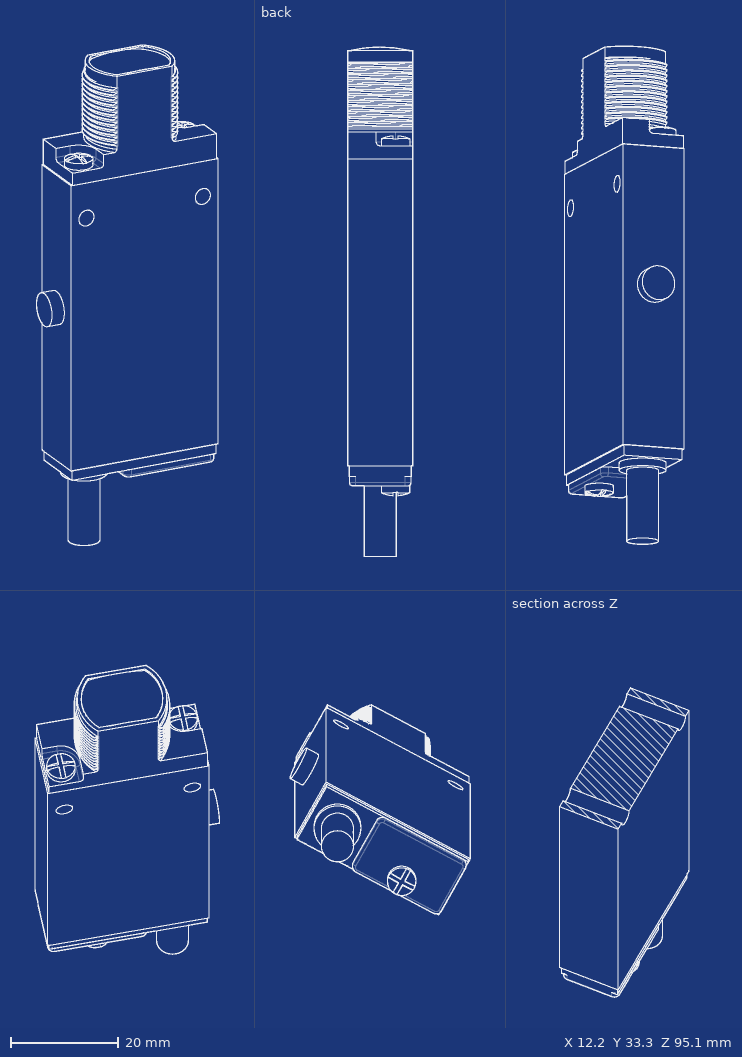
import cadquery as cq
import math


width = 12.2
case_depth = 30.7
case_height = 57.3
cap_step = 0.3
cap_depth = case_depth - 2 * cap_step
top_cap_height = 5.0
bottom_cap_height = 2.0
cap_top = case_height + top_cap_height
cap_bottom = -bottom_cap_height

hole_offset = 12.2
hole_diameter = 3.1
hole_drop = 7.0
screw_x = 2.9

barrel_radius = 8.4
barrel_height = 15.2
barrel_top = cap_top + barrel_height
neck_flare_radius = 8.7
neck_flare_height = 0.6

thread_radius = 8.9
thread_bottom = cap_top + 0.95
thread_top = barrel_top - 2.1
thread_turns = 12.2
thread_pitch = (thread_top - thread_bottom) / thread_turns
thread_root_width = 0.81
thread_crest_width = 0.14
thread_sink = 0.14
thread_arc = 120.0

lens_rim = 0.8
lens_radius = barrel_radius - lens_rim
lens_half_width = width / 2 - lens_rim
lens_seat_depth = 1.5
lens_rise = 0.7
lens_dome_radius = 23.8

screw_head_radius = 2.7
screw_head_side_height = 1.3
screw_head_dome_height = 0.6
screw_head_height = screw_head_side_height + screw_head_dome_height
screw_head_slot_width = 0.9
screw_head_slot_depth = 0.7
pocket_radius = 3.6
pocket_depth = 2.6
pocket_fillet = 0.8

button_radius = 3.2
button_length = 2.6
button_z = 30.7

bottom_cap_width = width - 2 * cap_step
cover_width = 11.5
cover_length = 18.8
cover_thickness = 1.7
cover_corner = 1.1
cover_edge_fillet = 0.6
cover_y = (cap_depth - cover_length) / 2
cover_screw_y = 5.6

cable_diameter = 6.0
cable_y = -9.6
collar_radius = 4.4
collar_height = 1.4
total_height = 95.1
cable_bottom = barrel_top + lens_rise - total_height


def block(x_size, y_size, z_low, z_high):
    """Box centred on X and Y between two heights."""
    return cq.Workplane("XY").workplane(offset=z_low).rect(x_size, y_size).extrude(z_high - z_low)


def disc(radius, z_low, z_high, x=0.0, y=0.0):
    """Upright cylinder between two heights."""
    return cq.Workplane("XY").workplane(offset=z_low).center(x, y).circle(radius).extrude(z_high - z_low)


def flat_sided_disc(radius, half_width, z_low, z_high):
    """Upright cylinder with two flats facing -X and +X."""
    slab = block(2 * half_width, 2 * radius, z_low, z_high)
    return disc(radius, z_low, z_high).intersect(slab)


def screw_head():
    """Domed head standing on Z = 0, with a cross slot in its top."""
    dome_radius = (screw_head_radius**2 + screw_head_dome_height**2) / (2 * screw_head_dome_height)
    ball = cq.Workplane("XY").sphere(dome_radius).translate((0, 0, screw_head_height - dome_radius))
    head = disc(screw_head_radius, 0, screw_head_height).intersect(ball)
    slot_floor = screw_head_height - screw_head_slot_depth
    slot = block(2 * screw_head_radius, screw_head_slot_width, slot_floor, screw_head_height)
    return head.cut(slot).cut(slot.rotate((0, 0, 0), (0, 0, 1), 90))


def corner_pocket():
    """Cutter for the pocket at the +X, -Y corner, open to both sides and to the top."""
    reach = pocket_radius + width
    floor = cap_top - pocket_depth
    return (
        cq.Workplane("XY")
        .workplane(offset=floor)
        .center(screw_x, -hole_offset)
        .moveTo(-pocket_radius, 0)
        .radiusArc((0, pocket_radius), pocket_radius)
        .lineTo(reach, pocket_radius)
        .lineTo(reach, -reach)
        .lineTo(-pocket_radius, -reach)
        .close()
        .extrude(pocket_depth)
        .faces("<Z")
        .edges()
        .fillet(pocket_fillet)
    )


def thread_segment():
    """Piece of the helical ridge centred on the +Y side, trimmed to the flats, at the height Z = 0."""
    root = barrel_radius - thread_sink
    rise = thread_pitch * thread_arc / 360
    path = cq.Wire.makeHelix(thread_pitch, rise, root)
    ridge = (
        cq.Workplane("XZ")
        .moveTo(root, -thread_root_width / 2)
        .lineTo(thread_radius, -thread_crest_width / 2)
        .lineTo(thread_radius, thread_crest_width / 2)
        .lineTo(root, thread_root_width / 2)
        .close()
        .sweep(cq.Workplane(obj=path), isFrenet=True)
        .rotate((0, 0, 0), (0, 0, 1), 90 - thread_arc / 2)
        .translate((0, 0, -rise / 2))
    )
    return ridge.intersect(block(width, 3 * thread_radius, -thread_pitch, thread_pitch))


def thread():
    """Right-hand thread: a segment for every half turn, trimmed square at both ends."""
    segment = thread_segment()
    pieces = []
    for half_turn in range(2 * math.ceil(thread_turns) + 2):
        height = thread_bottom + half_turn * thread_pitch / 2
        piece = segment.rotate((0, 0, 0), (0, 0, 1), 180 * half_turn).translate((0, 0, height))
        pieces.append(piece.val())
    band = block(width, 3 * thread_radius, thread_bottom, thread_top)
    return cq.Workplane(obj=cq.Compound.makeCompound(pieces)).intersect(band)


def plain_barrel():
    """Flat-sided barrel with a flared foot."""
    flare = (
        cq.Workplane("XZ")
        .moveTo(0, cap_top)
        .lineTo(neck_flare_radius, cap_top)
        .lineTo(barrel_radius, cap_top + neck_flare_height)
        .lineTo(0, cap_top + neck_flare_height)
        .close()
        .revolve(360, (0, 0), (0, 1))
        .intersect(block(width, case_depth, cap_top, barrel_top))
    )
    barrel = flat_sided_disc(barrel_radius, width / 2, cap_top, barrel_top)
    return barrel.union(flare)


def lens():
    """Lens with a spherical top, standing on the floor of its recess."""
    top = barrel_top + lens_rise
    blank = flat_sided_disc(lens_radius, lens_half_width, barrel_top - lens_seat_depth, top)
    ball = cq.Workplane("XY").sphere(lens_dome_radius).translate((0, 0, top - lens_dome_radius))
    return blank.intersect(ball)


def mounting_holes():
    """Cutter for the two holes through the case along X."""
    return (
        cq.Workplane("YZ")
        .workplane(offset=-width)
        .pushPoints([(side * hole_offset, case_height - hole_drop) for side in (-1, 1)])
        .circle(hole_diameter / 2)
        .extrude(2 * width)
    )


def button():
    return (
        cq.Workplane("XZ")
        .workplane(offset=case_depth / 2)
        .center(0, button_z)
        .circle(button_radius)
        .extrude(button_length)
    )


def cover_plate():
    """Plate below the bottom cap, with its screw head."""
    cover_bottom = cap_bottom - cover_thickness
    plate = (
        block(cover_width, cover_length, cover_bottom, cap_bottom)
        .edges("|Z")
        .fillet(cover_corner)
        .faces("<Z")
        .edges()
        .fillet(cover_edge_fillet)
        .translate((0, cover_y, 0))
    )
    head = screw_head().mirror("XY").translate((-screw_x, cover_screw_y, cover_bottom))
    return plate.union(head)


def make_sensor_head():
    """Top cap with its two screw heads, the threaded barrel and the lens."""
    sensor_head = block(width, cap_depth, case_height, cap_top)
    for turn in (0, 180):
        screw = screw_head().translate((screw_x, -hole_offset, cap_top - pocket_depth))
        sensor_head = sensor_head.cut(corner_pocket().rotate((0, 0, 0), (0, 0, 1), turn))
        sensor_head = sensor_head.union(screw.rotate((0, 0, 0), (0, 0, 1), turn))
    sensor_head = sensor_head.union(plain_barrel())
    recess = flat_sided_disc(lens_radius, lens_half_width, barrel_top - lens_seat_depth, barrel_top)
    sensor_head = sensor_head.cut(recess).union(lens())
    return sensor_head.union(thread(), clean=False)


def make_base():
    """Case with its button, bottom cap, cover plate and cable."""
    base = block(width, case_depth, 0, case_height).cut(mounting_holes())
    base = base.union(button())
    base = base.union(block(bottom_cap_width, cap_depth, cap_bottom, 0))
    base = base.union(cover_plate())
    base = base.union(disc(collar_radius, cap_bottom - collar_height, cap_bottom, y=cable_y))
    return base.union(disc(cable_diameter / 2, cable_bottom, cap_bottom, y=cable_y))


sensor_head = make_sensor_head()
base = make_base()
result = cq.Compound.makeCompound([sensor_head.val(), base.val()])